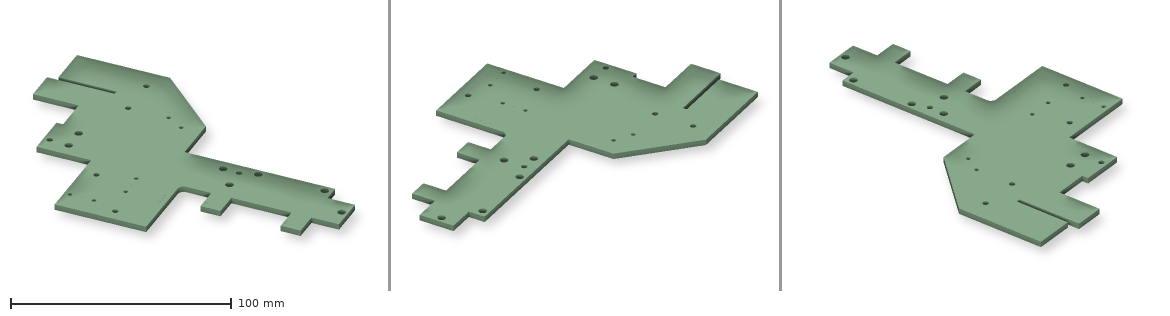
import cadquery as cq

length = 171.5
width = 118.0
total_height = 6.0
thickness = 3.0

arm_top = 64.1
arm_bottom = 37.9
arm_step_x = 157.8
arm_step_y = 55.7
tab_width = 10.0
tab_bottom = 25.9
near_tab_left = 107.9
far_tab_left = arm_step_x - tab_width

leg_left = 46.8
leg_right = 92.5
leg_fillet = 3.0

shoulder_left = 19.5
shoulder_bottom = 40.5
shoulder_top = 62.6
neck_left = 22.8
finger_bottom = 80.0

slot_bottom = 95.5
slot_top = 97.6
slot_end = 33.8
block_left = 4.8

slope_start_x = 51.3
slope_end_x = 82.7
slope_end_y = 87.8

large_diameter = 4.0
medium_diameter = 3.0
small_diameter = 2.0
tiny_diameter = 0.5

large_pair_x = 32.5
large_upper_y = 58.7
large_lower_y = 47.7
pin_diameter = 1.0
pin_y = (large_upper_y + large_lower_y) / 2

large_holes = [
    (large_pair_x, large_upper_y),
    (large_pair_x, large_lower_y),
    (104.5, large_upper_y),
    (112.5, large_lower_y),
    (168.5, large_lower_y),
    (121.0, 60.9),
    (154.0, 60.9),
]
medium_holes = [
    (44.2, 107.2),
    (44.2, 87.1),
    (22.6, 48.4),
    (54.0, 30.4),
    (74.3, 6.2),
    (112.5, 58.3),
]
single_small_holes = [(64.3, 87.3), (72.9, 82.2)]

pair_half_pitch = 6.0
upright_pair_center = (71.9, 29.0)
level_pair_center = (55.7, 10.5)

contact_count = 4
contact_pitch = 2.4
contact_x = 89.5
contact_first_y = 19.7


def make_plate():
    outline = [
        (leg_left, 0),
        (leg_right, 0),
        (leg_right, arm_bottom),
        (near_tab_left, arm_bottom),
        (near_tab_left, tab_bottom),
        (near_tab_left + tab_width, tab_bottom),
        (near_tab_left + tab_width, arm_bottom),
        (far_tab_left, arm_bottom),
        (far_tab_left, tab_bottom),
        (arm_step_x, tab_bottom),
        (arm_step_x, arm_bottom),
        (length, arm_bottom),
        (length, arm_step_y),
        (arm_step_x, arm_step_y),
        (arm_step_x, arm_top),
        (slope_end_x, arm_top),
        (slope_end_x, slope_end_y),
        (slope_start_x, width),
        (block_left, width),
        (block_left, slot_top),
        (slot_end, slot_top),
        (slot_end, slot_bottom),
        (0, slot_bottom),
        (0, finger_bottom),
        (neck_left, finger_bottom),
        (neck_left, shoulder_top),
        (shoulder_left, shoulder_top),
        (shoulder_left, shoulder_bottom),
        (leg_left, shoulder_bottom),
    ]
    plate = cq.Workplane("XY").polyline(outline).close().extrude(thickness)
    inner_corner = cq.selectors.NearestToPointSelector((leg_right, arm_bottom, thickness / 2))
    return plate.edges("|Z").edges(inner_corner).fillet(leg_fillet)


def drill(body, centers, diameter):
    """Cut through holes at the given XY centers."""
    holes = cq.Workplane("XY").pushPoints(centers).circle(diameter / 2).extrude(thickness)
    return body.cut(holes)


upright_x, upright_y = upright_pair_center
level_x, level_y = level_pair_center
paired_small_holes = []
for offset in (-pair_half_pitch, pair_half_pitch):
    paired_small_holes.append((upright_x, upright_y + offset))
    paired_small_holes.append((level_x + offset, level_y))

contact_holes = [(contact_x, contact_first_y + i * contact_pitch) for i in range(contact_count)]

result = make_plate()
result = drill(result, large_holes, large_diameter)
result = drill(result, medium_holes, medium_diameter)
result = drill(result, single_small_holes + paired_small_holes, small_diameter)
result = drill(result, [upright_pair_center, level_pair_center], tiny_diameter)
result = drill(result, contact_holes, tiny_diameter)

pin = (
    cq.Workplane("XY")
    .center(large_pair_x, pin_y)
    .circle(pin_diameter / 2)
    .extrude(thickness - total_height)
)
result = result.union(pin)